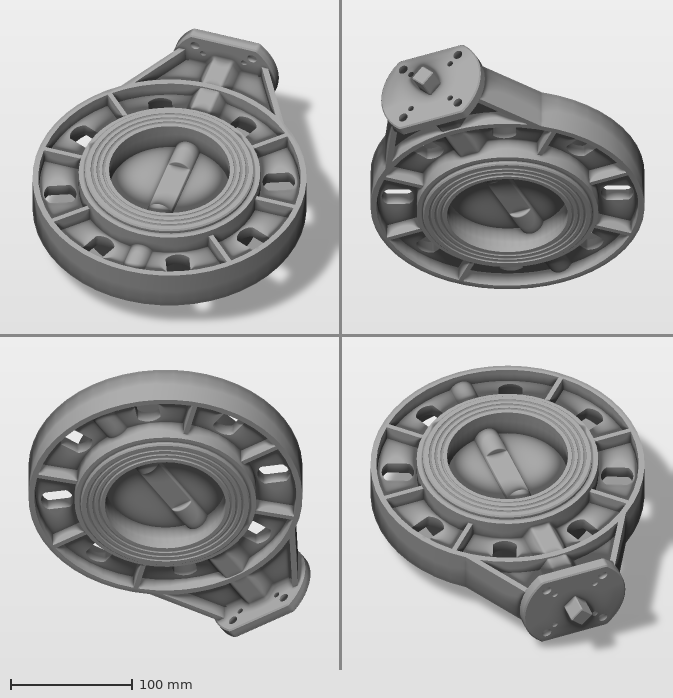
import cadquery as cq
import math


OVERALL_LENGTH = 284.8

RING_DIAMETER = 226.5
RING_HEIGHT = 35.3
WALL = 4.8
WEB_THICKNESS = 10.8
HUB_DIAMETER = 150.0
HUB_HEIGHT = 47.0
RIB_WIDTH = 4.0
RIB_ANGLES = (0, 45, 135, 180, 225, 315)
DRAFT = 3

SLOT_COUNT = 8
SLOT_CENTER_RADIUS = 90.5
SLOT_WIDTH = 19.7
SLOT_LENGTH = 26.8
SLOT_CORNER = 2.5

BOSS_DIAMETER = 22.0
BOSS_FILLET = 1.0
BOSS_HUB_FILLET = 0.5

NECK_HALF_WIDTH_TOP = 38.7
NECK_HALF_WIDTH_BOTTOM = 71.8
NECK_BOTTOM_Y = 86.5
STEM_CASE_TOP_WIDTH = 16.0
STEM_CASE_BASE_WIDTH = 30.2
STEM_CASE_HEIGHT = 32.5
STEM_CASE_FILLET = 2.8
STEM_CASE_HUB_FILLET = 1.0
NECK_FILLET = 2.3
NECK_FILLET_INSET = 7.7

FLANGE_DIAMETER = 90.3
FLANGE_HEIGHT = 70.0
FLANGE_THICKNESS = 10.3
FLANGE_TOP_Y = 155.0
FLANGE_CORNER = 4.0
FLANGE_CHAMFER = 1.0
FLANGE_HOLE_SETS = ((70.0, 8.0), (50.0, 5.0))

LINER_DIAMETER = 140.0
LINER_HEIGHT = 54.0
LINER_CHAMFER = 1.0
BORE_DIAMETER = 100.0
GROOVE_DIAMETER = 2.22
GROOVE_COUNT = 3
FIRST_GROOVE_RADIUS = 54.5
GROOVE_PITCH = 4.8

DISC_THICKNESS = 5.0
DISC_HUB_DIAMETER = 22.0
FLAT_LENGTH = 50.0
FLAT_THICKNESS = 10.8
FLAT_FILLET = 0.9

STEM_DIAMETER = 18.5
STEM_SQUARE = 14.0
STEM_BOTTOM_Y = 28.5
STEM_CHAMFER = 0.9

MARGIN = 0.3

ring_radius = RING_DIAMETER / 2
stem_top_y = OVERALL_LENGTH - ring_radius
web_half = WEB_THICKNESS / 2
wall_rise = RING_HEIGHT / 2 - web_half
draft_spread = wall_rise * math.tan(math.radians(DRAFT))
bore_radius = BORE_DIAMETER / 2
flange_bottom_y = FLANGE_TOP_Y - FLANGE_THICKNESS


def disk(diameter, height):
    """Cylinder on the Z axis, centred on Z = 0."""
    return cq.Workplane("XY").circle(diameter / 2).extrude(height / 2, both=True)


def along_y(start_y):
    """Plane across Y at start_y whose extrusions run toward +Y, sketched with -X and +Z axes."""
    return cq.Workplane("XZ", origin=(0, start_y, 0)).transformed(rotate=(0, 180, 0))


def rod(diameter, start_y, end_y):
    """Cylinder on the Y axis."""
    return along_y(start_y).circle(diameter / 2).extrude(end_y - start_y)


def on_both_sides(upper):
    """A shape above the web together with its mirror image below."""
    return upper.union(upper.mirror("XY"))


def ring_pockets():
    """Space inside the ring wall above and below the web, narrowing toward the web."""
    base_radius = ring_radius - WALL - draft_spread
    upper = cq.Workplane("XY").workplane(offset=web_half).circle(base_radius)
    return on_both_sides(upper.extrude(wall_rise, taper=-DRAFT))


def make_ring_and_hub():
    """Web inside a ring wall, with the raised hub and the radial ribs."""
    body = disk(RING_DIAMETER, RING_HEIGHT).cut(ring_pockets())
    body = body.union(disk(HUB_DIAMETER, HUB_HEIGHT))
    rib_start = bore_radius
    rib_length = ring_radius - WALL / 2 - rib_start
    for angle in RIB_ANGLES:
        rib = (
            cq.Workplane("XY", origin=(rib_start + rib_length / 2, 0, web_half))
            .rect(rib_length, RIB_WIDTH + 2 * draft_spread)
            .extrude(wall_rise, taper=DRAFT)
            .rotate((0, 0, 0), (0, 0, 1), angle)
        )
        body = body.union(on_both_sides(rib))
    return body


def make_boss():
    """Lower bearing boss, blended into a strip of the web."""
    start_y = -(ring_radius - WALL / 2)
    length = -bore_radius - start_y
    strip = along_y(start_y).rect(2 * BOSS_DIAMETER, WEB_THICKNESS).extrude(length)
    boss = along_y(start_y).circle(BOSS_DIAMETER / 2).extrude(length).union(strip)
    half = BOSS_DIAMETER / 2
    toes = cq.selectors.BoxSelector((-half, start_y, -web_half - MARGIN), (half, 0, web_half + MARGIN))
    return boss.edges("|Y").edges(toes).fillet(BOSS_FILLET)


def make_stem_case():
    """Six-sided case around the stem, blended into a strip of the web."""
    top = STEM_CASE_TOP_WIDTH / 2
    base = STEM_CASE_BASE_WIDTH / 2
    side = base + top
    z = STEM_CASE_HEIGHT / 2
    upper = [(-side, web_half), (-base, web_half), (-top, z), (top, z), (base, web_half), (side, web_half)]
    lower = [(x, -height) for x, height in reversed(upper)]
    case = along_y(bore_radius).polyline(upper + lower).close().extrude(flange_bottom_y - bore_radius)
    reach_x = base + MARGIN
    reach_z = z + MARGIN
    corners = cq.selectors.BoxSelector((-reach_x, 0, -reach_z), (reach_x, FLANGE_TOP_Y, reach_z))
    return case.edges("|Y").edges(corners).fillet(STEM_CASE_FILLET)


def neck_outline(inset, base_z=0):
    """Outline narrowing from the ring to the flange, its slanted sides moved in by inset."""
    rise = flange_bottom_y - NECK_BOTTOM_Y
    run = NECK_HALF_WIDTH_BOTTOM - NECK_HALF_WIDTH_TOP
    shift = inset * math.hypot(rise, run) / rise
    top = NECK_HALF_WIDTH_TOP - shift
    bottom = NECK_HALF_WIDTH_BOTTOM - shift
    outline = [
        (-bottom, NECK_BOTTOM_Y),
        (bottom, NECK_BOTTOM_Y),
        (top, flange_bottom_y),
        (-top, flange_bottom_y),
    ]
    return cq.Workplane("XY").workplane(offset=base_z).polyline(outline).close()


def neck_plate(inset, height):
    """Plate of the neck outline, centred on Z = 0."""
    return neck_outline(inset).extrude(height / 2, both=True)


def neck_pockets():
    """Space between the slanted side walls above and below the web, narrowing toward the web."""
    base_inset = WALL + draft_spread
    upper = neck_outline(base_inset, web_half).extrude(wall_rise, taper=-DRAFT)
    return on_both_sides(upper)


def make_flange():
    """Round actuator flange with two flats and two sets of bolt holes."""
    round_plate = rod(FLANGE_DIAMETER, flange_bottom_y, FLANGE_TOP_Y)
    flats = along_y(flange_bottom_y).rect(FLANGE_DIAMETER, FLANGE_HEIGHT).extrude(FLANGE_THICKNESS)
    flange = round_plate.intersect(flats).edges("|Y").fillet(FLANGE_CORNER)
    flange = flange.faces("<Y or >Y").edges().chamfer(FLANGE_CHAMFER)
    for circle, diameter in FLANGE_HOLE_SETS:
        holes = (
            along_y(flange_bottom_y)
            .polarArray(circle / 2, 45, 360, 4)
            .circle(diameter / 2)
            .extrude(FLANGE_THICKNESS)
        )
        flange = flange.cut(holes)
    return flange


def ring_root():
    """Draft on the outside of the ring, which thickens it toward the web."""
    upper = cq.Workplane("XY").workplane(offset=web_half).circle(ring_radius + draft_spread)
    return on_both_sides(upper.extrude(wall_rise, taper=DRAFT))


def make_neck():
    """Flange on its tapered web and stem case, with the two slanted side walls."""
    neck = make_flange().union(make_stem_case()).union(neck_plate(NECK_FILLET_INSET, WEB_THICKNESS))
    reach_x = NECK_HALF_WIDTH_TOP
    reach_z = STEM_CASE_HEIGHT / 2 + MARGIN
    joint = cq.selectors.BoxSelector(
        (-reach_x, flange_bottom_y - MARGIN, -reach_z),
        (reach_x, flange_bottom_y + MARGIN, reach_z),
        boundingbox=True,
    )
    neck = neck.edges(joint).edges("not |Z").fillet(NECK_FILLET)
    neck = neck.union(neck_plate(WALL / 2, WEB_THICKNESS))
    side_walls = neck_plate(0, RING_HEIGHT).cut(neck_pockets())
    return neck.union(side_walls).union(ring_root().intersect(neck_plate(0, RING_HEIGHT)))


def make_slot(angle):
    """Bolt slot with bulged ends, its long side radial."""
    block = cq.Workplane("XY").rect(SLOT_LENGTH, SLOT_WIDTH).extrude(web_half, both=True)
    slot = block.intersect(disk(SLOT_LENGTH, WEB_THICKNESS)).edges("|Z").fillet(SLOT_CORNER)
    return slot.translate((SLOT_CENTER_RADIUS, 0, 0)).rotate((0, 0, 0), (0, 0, 1), angle)


def round_hub_joints(body):
    """Fillet where the boss and the stem case, and the web beside them, meet the hub."""
    hub_radius = HUB_DIAMETER / 2
    half = BOSS_DIAMETER / 2
    near_y = math.sqrt(hub_radius**2 - half**2) - MARGIN
    far_y = hub_radius + MARGIN
    for side, fillet in ((-1, BOSS_HUB_FILLET), (1, STEM_CASE_HUB_FILLET)):
        near_stem = cq.selectors.BoxSelector(
            (-half, side * near_y, -RING_HEIGHT / 2), (half, side * far_y, RING_HEIGHT / 2)
        )
        body = body.edges(near_stem).edges("not |Y").fillet(fillet)
    return body


def make_housing():
    """Ring, hub and neck in one casting, bored for the liner and the stem."""
    outside_ring = make_neck().cut(ring_pockets())
    housing = make_ring_and_hub().union(make_boss()).union(make_stem_case()).union(outside_ring)
    housing = round_hub_joints(housing)
    for index in range(SLOT_COUNT):
        housing = housing.cut(make_slot((index + 0.5) * 360 / SLOT_COUNT))
    housing = housing.cut(disk(LINER_DIAMETER, HUB_HEIGHT))
    return housing.cut(rod(STEM_DIAMETER, 0, FLANGE_TOP_Y))


def make_liner():
    """Rubber sleeve in the hub, with round sealing grooves in both faces."""
    liner = disk(LINER_DIAMETER, LINER_HEIGHT).faces("<Z or >Z").edges().chamfer(LINER_CHAMFER)
    liner = liner.cut(disk(BORE_DIAMETER, LINER_HEIGHT))
    for index in range(GROOVE_COUNT):
        radius = FIRST_GROOVE_RADIUS + index * GROOVE_PITCH
        for face_z in (-LINER_HEIGHT / 2, LINER_HEIGHT / 2):
            groove = cq.Solid.makeTorus(radius, GROOVE_DIAMETER / 2, cq.Vector(0, 0, face_z))
            liner = liner.cut(cq.Workplane(groove))
    return liner.cut(rod(STEM_DIAMETER, 0, ring_radius))


def make_disc():
    """Closing disc with a round hub along the stem axis, flattened in the middle."""
    hub = rod(DISC_HUB_DIAMETER, -bore_radius, bore_radius)
    offset = (FLAT_THICKNESS + DISC_HUB_DIAMETER) / 2
    for z in (-offset, offset):
        hub = hub.cut(
            cq.Workplane("XY").box(DISC_HUB_DIAMETER, FLAT_LENGTH, DISC_HUB_DIAMETER).translate((0, 0, z))
        )
    recess = cq.selectors.BoxSelector(
        (-DISC_HUB_DIAMETER, -FLAT_LENGTH / 2 - MARGIN, -DISC_HUB_DIAMETER),
        (DISC_HUB_DIAMETER, FLAT_LENGTH / 2 + MARGIN, DISC_HUB_DIAMETER),
    )
    hub = hub.edges(recess).fillet(FLAT_FILLET)
    disc = disk(BORE_DIAMETER, DISC_THICKNESS).union(hub.intersect(disk(BORE_DIAMETER, DISC_HUB_DIAMETER)))
    return disc.cut(rod(STEM_DIAMETER, STEM_BOTTOM_Y, bore_radius))


def make_stem():
    """Round stem with a square drive end standing on its corner."""
    shaft = rod(STEM_DIAMETER, STEM_BOTTOM_Y, stem_top_y)
    drive_length = stem_top_y - FLANGE_TOP_Y
    drive = along_y(FLANGE_TOP_Y).rect(STEM_SQUARE, STEM_SQUARE).extrude(drive_length)
    drive = drive.rotate((0, 0, 0), (0, 1, 0), 45)
    sheath = rod(STEM_DIAMETER, FLANGE_TOP_Y, stem_top_y).cut(drive)
    return shaft.cut(sheath).faces(">Y").chamfer(STEM_CHAMFER)


housing = make_housing()
liner = make_liner()
disc = make_disc()
stem = make_stem()

result = cq.Compound.makeCompound([housing.val(), liner.val(), disc.val(), stem.val()])